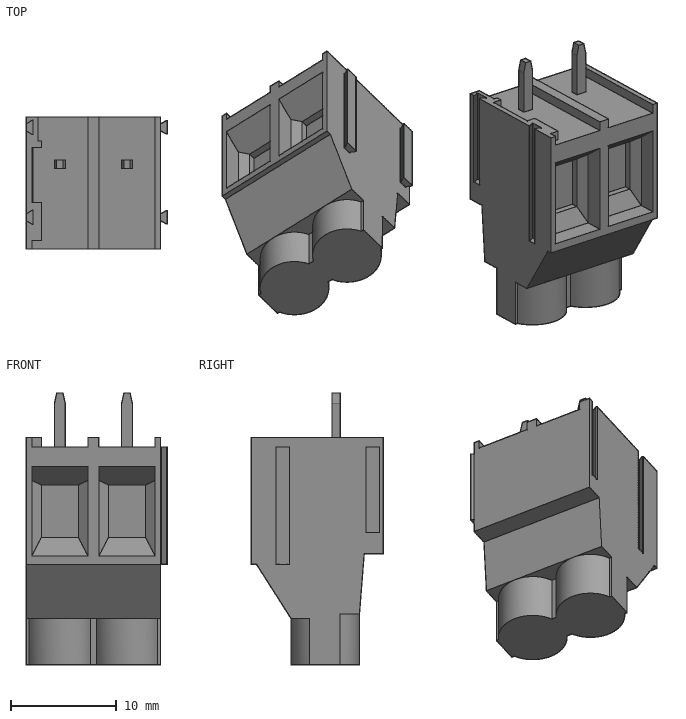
import cadquery as cq

pitch = 6.35
pole_count = 2
width = pitch * pole_count
depth = 12.5
rim_z = 21.5
floor_z = 20.6
front_ledge_z = 9.5
front_ledge_depth = 0.5
back_ledge_z = 10.5
back_slope_top_y = 10.7
front_collar_z = 4.4
back_collar_z = 4.8

collar_diameter = 6.5
collar_y = 7.0
web_front_y = 5.53
web_back_y = 8.4

wall_thickness = 0.55
divider_thickness = 1.05
left_wall_thick = 1.45
left_wall_back = 1.1
front_block_start_y = 0.8
front_block_end_y = 4.4
back_block_start_y = 9.6
back_block_end_y = 10.2
left_wall_foot = 0.09

entry_width = pitch - divider_thickness
entry_bottom_z = 10.3
entry_top_z = 18.75
bore_width = 3.5
bore_bottom_z = 12.05
bore_top_z = 17.0
straight_depth = 1.8
taper_end_depth = 2.4
bore_depth = 3.05

pin_width = 1.05
pin_thickness = 0.8
pin_y = 8.03
pin_top_z = 25.7
pin_tip_width = 0.6
pin_tip_height = 1.0

tail_height = 0.63
tail_crown_width = 1.3
groove_depth = 0.66
groove_inner_width = 1.35
dovetail_neck_width = 0.75
dovetail_mouth_width = 0.9
dovetail_edge = 0.08
front_tail_y = 3.0
back_tail_y = 11.5
front_tail_bottom_z = front_ledge_z
back_tail_bottom_z = 12.5

pole_centers = [pitch * (index + 0.5) for index in range(pole_count)]


def box(x0, x1, y0, y1, z0, z1):
    """Axis-aligned block between two opposite corners."""
    return cq.Workplane("XY").box(x1 - x0, y1 - y0, z1 - z0, centered=False).translate((x0, y0, z0))


def make_housing():
    """Side profile, stepped at the collar axis, extruded across all poles."""
    profile = [
        (0, floor_z),
        (0, front_ledge_z),
        (front_ledge_depth, front_ledge_z),
        (collar_y - collar_diameter / 2, front_collar_z),
        (collar_y, front_collar_z),
        (collar_y, back_collar_z),
        (collar_y + collar_diameter / 2, back_collar_z),
        (back_slope_top_y, back_ledge_z),
        (depth, back_ledge_z),
        (depth, floor_z),
    ]
    return cq.Workplane("YZ").polyline(profile).close().extrude(width)


def make_collars():
    """One cylinder per pole plus the web, trimmed flush with the housing sides."""
    collars = box(0, width, web_front_y, web_back_y, 0, back_collar_z)
    for x in pole_centers:
        cylinder = cq.Workplane("XY").center(x, collar_y).circle(collar_diameter / 2).extrude(back_collar_z)
        collars = collars.union(cylinder)
    return collars.intersect(box(0, width, 0, depth, 0, back_collar_z))


def make_top_walls():
    """Rim walls and pole dividers above the floor; the left wall has thicker blocks and a drafted middle."""
    walls = box(width - wall_thickness, width, 0, depth, floor_z, rim_z)
    for index in range(1, pole_count):
        x = pitch * index
        divider = box(x - divider_thickness / 2, x + divider_thickness / 2, 0, depth, floor_z, rim_z)
        walls = walls.union(divider)
    left_wall = [
        (0, 0),
        (wall_thickness, 0),
        (wall_thickness, front_block_start_y),
        (left_wall_thick, front_block_start_y),
        (left_wall_thick, front_block_end_y),
        (wall_thickness, front_block_end_y),
        (wall_thickness, back_block_start_y),
        (left_wall_thick, back_block_start_y),
        (left_wall_thick, back_block_end_y),
        (left_wall_back, back_block_end_y),
        (left_wall_back, depth),
        (0, depth),
    ]
    wall = cq.Workplane("XY", origin=(0, 0, floor_z)).polyline(left_wall).close().extrude(rim_z - floor_z)
    foot = [
        (wall_thickness, floor_z),
        (wall_thickness + left_wall_foot, floor_z),
        (wall_thickness, rim_z),
    ]
    foot_plane = cq.Workplane("XZ", origin=(0, back_block_start_y, 0))
    draft = foot_plane.polyline(foot).close().extrude(back_block_start_y - front_block_end_y)
    return walls.union(wall).union(draft)


def make_wire_entry(x):
    """Pocket that runs straight, funnels inward, then ends in a shallow bore."""
    plan = [
        (x - entry_width / 2, 0),
        (x + entry_width / 2, 0),
        (x + entry_width / 2, straight_depth),
        (x + bore_width / 2, taper_end_depth),
        (x + bore_width / 2, bore_depth),
        (x - bore_width / 2, bore_depth),
        (x - bore_width / 2, taper_end_depth),
        (x - entry_width / 2, straight_depth),
    ]
    side = [
        (0, entry_bottom_z),
        (straight_depth, entry_bottom_z),
        (taper_end_depth, bore_bottom_z),
        (bore_depth, bore_bottom_z),
        (bore_depth, bore_top_z),
        (taper_end_depth, bore_top_z),
        (0, entry_top_z),
    ]
    plan_prism = cq.Workplane("XY").polyline(plan).close().extrude(floor_z)
    side_prism = cq.Workplane("YZ").polyline(side).close().extrude(width)
    return plan_prism.intersect(side_prism)


def make_pin(x):
    """Flat pin standing on the floor, narrowed at the tip."""
    shoulder_z = pin_top_z - pin_tip_height
    outline = [
        (x - pin_width / 2, floor_z),
        (x + pin_width / 2, floor_z),
        (x + pin_width / 2, shoulder_z),
        (x + pin_tip_width / 2, pin_top_z),
        (x - pin_tip_width / 2, pin_top_z),
        (x - pin_width / 2, shoulder_z),
    ]
    plane = cq.Workplane("XZ", origin=(0, pin_y + pin_thickness / 2, 0))
    return plane.polyline(outline).close().extrude(pin_thickness)


def make_dovetail(x, y, crown_width, height, bottom_z, top_z):
    """Vertical dovetail prism from x toward +X: flared mouth, narrow neck, wide blunt crown."""
    levels = [
        (0, dovetail_mouth_width),
        (dovetail_edge, dovetail_neck_width),
        (height - dovetail_edge, crown_width),
        (height, crown_width),
    ]
    front_side = [(x + offset, y - level_width / 2) for offset, level_width in levels]
    back_side = [(x + offset, y + level_width / 2) for offset, level_width in reversed(levels)]
    section = cq.Workplane("XY", origin=(0, 0, bottom_z)).polyline(front_side + back_side).close()
    return section.extrude(top_z - bottom_z)


result = make_housing().union(make_collars()).union(make_top_walls())

for pole_x in pole_centers:
    result = result.cut(make_wire_entry(pole_x))
    result = result.union(make_pin(pole_x))

for tail_y, bottom in [(front_tail_y, front_tail_bottom_z), (back_tail_y, back_tail_bottom_z)]:
    groove = make_dovetail(0, tail_y, groove_inner_width, groove_depth, bottom, rim_z)
    tail = make_dovetail(width, tail_y, tail_crown_width, tail_height, bottom, floor_z)
    result = result.cut(groove).union(tail)